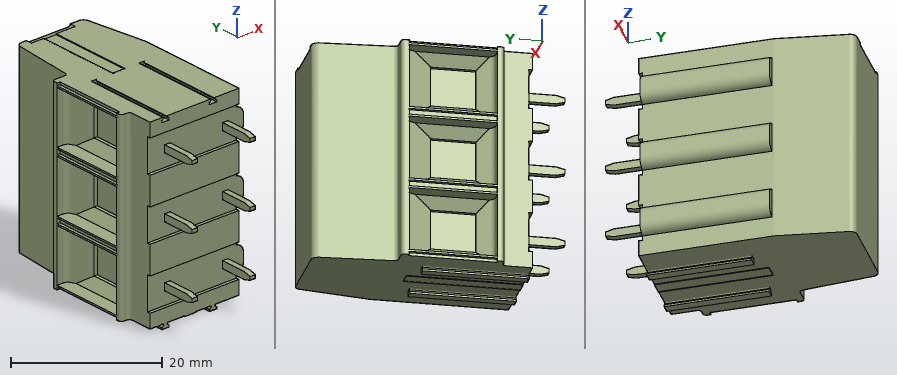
import cadquery as cq


total_depth = 18.4
total_length = 34.3
total_height = 31.2

pole_count = 3
pitch = 10.15
body_width = pole_count * pitch
body_length = 29.3
body_back = 17.1
foot_front = 1.5
entry_bottom = 4.08
entry_top = 17.97
neck_front_low = 2.68
neck_front_high = 3.6
shoulder_back = 18.65
neck_back_high = 15.33
entry_round = 0.5
top_round = 1.0

standoff = 0.5
recess_width = 5.5

bump_height = total_depth - body_back
bump_width = 4.25
bump_top = 18.3
bump_round = 1.47

pin_tip = body_length - total_length
pin_width = 0.93
pin_thickness = 1.2
pin_tip_thickness = 0.6
pin_taper = 1.15
first_pin_x = 5.0
pin_embed = 1.03

entry_low = 5.05
entry_high = 16.98
entry_height = 8.78
straight_depth = 2.25
funnel_depth = 3.35
entry_depth = 3.9
funnel_low = 7.25
funnel_high = 13.38
funnel_height = 5.52
mouth_low = 5.7
mouth_high = 15.75
mouth_round = 1.0

slit_height = 0.82
slit_depth = 0.5

rail_positions = (4.25, 12.6)
rail_length = 14.4
rail_height = total_height - body_width
rail_neck_width = 0.65
rail_head_width = 1.27
rail_root_round = 0.15
rail_flare_end = 0.48

strip_middle = 8.58
strip_width = 2.13
strip_depth = 0.15
rib_width = 2.0
rib_height = 0.1
rib_length = 15.78
notch_low = 28.25
notch_front = 5.3
notch_back = 13.0
notch_depth = 0.35
notch_round = 0.27

margin = 0.35

pole_centers = [pitch * (pole + 0.5) for pole in range(pole_count)]


def box(x_range, y_range, z_range):
    """Box between two limits along each axis."""
    size = [high - low for low, high in (x_range, y_range, z_range)]
    corner = (x_range[0], y_range[0], z_range[0])
    return cq.Workplane("XY").box(*size, centered=False).translate(corner)


def make_body():
    """Housing outline extruded across all poles, with its corners rounded."""
    outline = [
        (foot_front, 0),
        (body_back, 0),
        (body_back, shoulder_back),
        (neck_back_high, body_length),
        (neck_front_high, body_length),
        (neck_front_low, entry_top),
        (0, entry_top),
        (0, entry_bottom),
        (foot_front, entry_bottom),
    ]
    body = cq.Workplane("XY").polyline(outline).close().extrude(body_width)
    body = body.edges("|Z and >Y").fillet(top_round)
    entry_edges = cq.selectors.BoxSelector(
        (-margin, entry_bottom - margin, -margin),
        (neck_front_low + margin, entry_top + margin, body_width + margin),
    )
    return body.edges("|Z").edges(entry_edges).fillet(entry_round)


def make_bump(z_middle):
    """Ridge on the back wall with both outer corners widely rounded."""
    bump = box(
        (body_back - bump_height, body_back + bump_height),
        (standoff, bump_top),
        (z_middle - bump_width / 2, z_middle + bump_width / 2),
    )
    return bump.edges("|Y and >X").fillet(bump_round)


def make_pin(x_middle, z_middle):
    """Flat solder pin, tapered in Z at its tip."""
    half = pin_thickness / 2
    tip_half = pin_tip_thickness / 2
    taper_start = pin_tip + pin_taper
    outline = [
        (standoff + pin_embed, -half),
        (taper_start, -half),
        (pin_tip, -tip_half),
        (pin_tip, tip_half),
        (taper_start, half),
        (standoff + pin_embed, half),
    ]
    pin = cq.Workplane("YZ").polyline(outline).close().extrude(pin_width)
    return pin.translate((x_middle - pin_width / 2, 0, z_middle))


def make_entry(z_middle):
    """Wire entry: straight mouth that narrows on all four sides to a shallow square socket."""
    taper_depth = funnel_depth - straight_depth
    low_run = taper_depth * (mouth_low - entry_low) / (funnel_low - mouth_low)
    high_run = taper_depth * (entry_high - mouth_high) / (mouth_high - funnel_high)
    plan = [
        (-margin, entry_low),
        (straight_depth - low_run, entry_low),
        (funnel_depth, funnel_low),
        (funnel_depth, funnel_high),
        (straight_depth - high_run, entry_high),
        (-margin, entry_high),
    ]
    half = entry_height / 2
    floor_half = funnel_height / 2
    profile = [
        (-margin, -half),
        (straight_depth, -half),
        (funnel_depth, -floor_half),
        (funnel_depth, floor_half),
        (straight_depth, half),
        (-margin, half),
    ]
    plan_prism = cq.Workplane("XY").polyline(plan).close().extrude(half, both=True)
    mouth_edges = cq.selectors.BoxSelector(
        (0, 0, -half - margin),
        (straight_depth, body_length, half + margin),
    )
    plan_prism = plan_prism.edges("|Z").edges(mouth_edges).fillet(mouth_round)
    profile_prism = cq.Workplane("XZ").polyline(profile).close().extrude(-body_length)
    socket = box((funnel_depth, entry_depth), (funnel_low, funnel_high), (-floor_half, floor_half))
    return plan_prism.intersect(profile_prism).union(socket).translate((0, 0, z_middle))


def make_rail(x_middle, z_wall):
    """Rail hanging from a wall: rounded root, then sides sloping out to a wide head."""
    half_neck = rail_neck_width / 2
    half_head = rail_head_width / 2
    half_root = half_neck + rail_root_round
    outline = (
        cq.Workplane("XZ")
        .moveTo(-half_root, 0)
        .radiusArc((-half_neck, -rail_root_round), rail_root_round)
        .lineTo(-half_head, -rail_flare_end)
        .lineTo(-half_head, -rail_height)
        .lineTo(half_head, -rail_height)
        .lineTo(half_head, -rail_flare_end)
        .lineTo(half_neck, -rail_root_round)
        .radiusArc((half_root, 0), rail_root_round)
        .close()
    )
    return outline.extrude(-rail_length).translate((x_middle, 0, z_wall))


def make_notch():
    """Label notch at the top end of the upper wall, rounded where its sides meet its floor."""
    notch = box((notch_front, notch_back), (notch_low, body_length), (body_width - notch_depth, body_width))
    return notch.edges("|Y and <Z").fillet(notch_round)


result = make_body()

for z in pole_centers:
    recess_span = (z - recess_width / 2, z + recess_width / 2)
    result = result.cut(box((0, body_back), (0, standoff), recess_span))
    result = result.union(make_bump(z))
    result = result.cut(make_entry(z))
    for x in (first_pin_x, first_pin_x + pitch):
        result = result.union(make_pin(x, z))

for boundary in range(pole_count + 1):
    z = boundary * pitch
    slit_span = (z - slit_height / 2, z + slit_height / 2)
    result = result.cut(box((0, slit_depth), (entry_low, entry_high), slit_span))

for x in rail_positions:
    result = result.union(make_rail(x, 0))
    result = result.cut(make_rail(x, body_width))

strip_span = (strip_middle - strip_width / 2, strip_middle + strip_width / 2)
result = result.cut(box(strip_span, (rail_length, notch_low), (body_width - strip_depth, body_width)))
rib_span = (strip_middle - rib_width / 2, strip_middle + rib_width / 2)
result = result.union(box(rib_span, (0, rib_length), (-rib_height, 0)))
result = result.cut(make_notch())